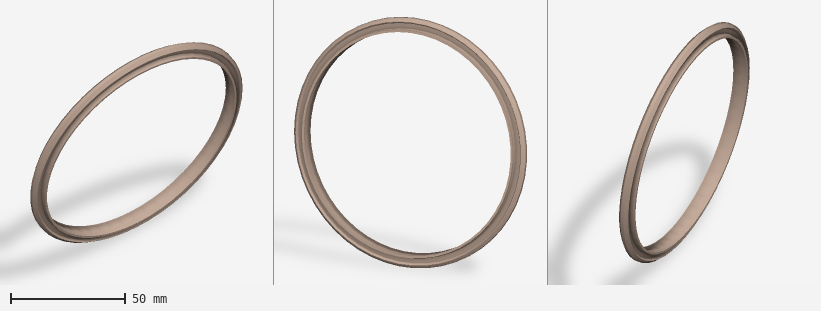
import cadquery as cq

outer_radius = 56.0
bore_radius = 100.0 / 2
collar_radius = 102.0 / 2
total_width = 7.0
rim_width = 4.5
rim_chamfer = 1.5

groove_depth = 1.0
groove_land = 0.2
groove_outer_slope = 0.7
groove_inner_slope = 0.5

half_width = total_width / 2
half_rim = rim_width / 2
groove_floor = half_rim - groove_depth
chamfer_radius = outer_radius - rim_chamfer
groove_mouth_radius = chamfer_radius - groove_land

half_section = [
    (half_width, bore_radius),
    (half_width, collar_radius),
    (half_rim, collar_radius),
    (groove_floor, collar_radius + groove_inner_slope),
    (groove_floor, groove_mouth_radius - groove_outer_slope),
    (half_rim, groove_mouth_radius),
    (half_rim, chamfer_radius),
    (half_rim - rim_chamfer, outer_radius),
]
mirrored_section = [(-x, radius) for x, radius in reversed(half_section)]

result = (
    cq.Workplane("XY")
    .polyline(half_section + mirrored_section)
    .close()
    .revolve(360, (0, 0, 0), (1, 0, 0))
)